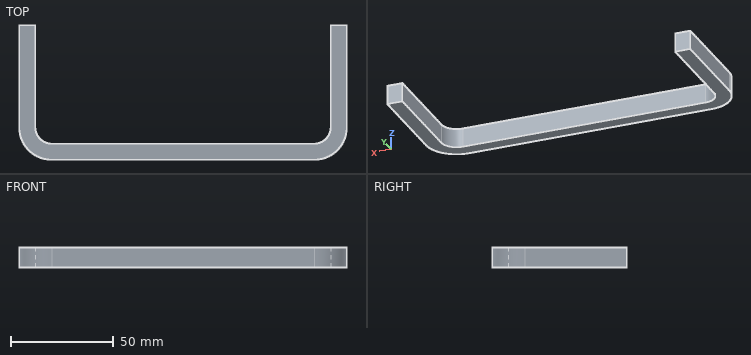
import cadquery as cq

length = 160.5
depth = 66.0
height = 10.0

bar_thickness = 8.0
inner_radius = 8.0
outer_radius = inner_radius + bar_thickness


def rounded_block(width, reach, front_y, corner_radius):
    """Block starting at front_y, with its two front vertical corners rounded."""
    return (
        cq.Workplane("XY")
        .box(width, reach, height, centered=(True, False, False))
        .edges("|Z and <Y")
        .fillet(corner_radius)
        .translate((0, front_y, 0))
    )


outer_block = rounded_block(length, depth, 0, outer_radius)
opening = rounded_block(
    length - 2 * bar_thickness, depth - bar_thickness, bar_thickness, inner_radius
)

result = outer_block.cut(opening)